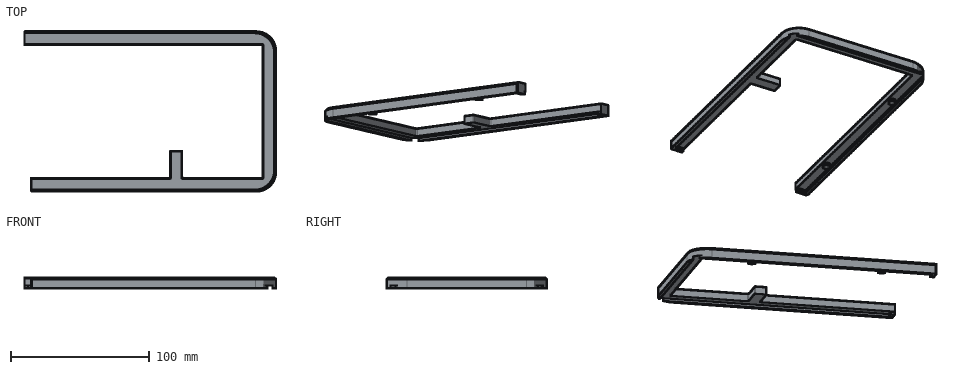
import cadquery as cq
length = 182.2
width = 116.0
height = 7.8

bar_width = 9.8
near_arm_start = 5.0
outer_radius = 15.0
inner_radius = 0.7
outer_chamfer = 1.5
inner_chamfer = 0.5
end_chamfer = 0.7

stub_width = 8.7
stub_reach = 19.7
stub_center_x = 109.9

rebate_depth = 2.0
skirt_width = 2.7
end_wall = 2.7
end_wall_setback = 0.5

pin_diameter = 5.3
pin_positions_x = (39.5, 136.1)
pin_y = width - (bar_width + skirt_width) / 2

inner_x = length - bar_width
inner_near_y = bar_width
inner_far_y = width - bar_width
stub_tip_y = inner_near_y + stub_reach
tolerance = 0.02


def block(x_range, y_range, z_range):
    """Axis-aligned box spanning the given ranges."""
    low = (x_range[0], y_range[0], z_range[0])
    high = (x_range[1], y_range[1], z_range[1])
    size = [b - a for a, b in zip(low, high)]
    return cq.Workplane("XY").box(*size, centered=False).translate(low)


def outer_slab():
    """Full footprint with rounded right corners and a chamfered top rim."""
    slab = block((0, length), (0, width), (0, height))
    slab = slab.edges("|Z and >X").fillet(outer_radius)
    return slab.faces(">Z").edges("not <X").chamfer(outer_chamfer)


def opening():
    """Space inside the U, around the stub, with softened vertical corners."""
    space = block((-end_wall, inner_x), (inner_near_y, inner_far_y), (0, height))
    stub_x = (stub_center_x - stub_width / 2, stub_center_x + stub_width / 2)
    space = space.cut(block(stub_x, (inner_near_y, stub_tip_y), (0, height)))
    return space.edges("|Z and (not <X)").fillet(inner_radius)


def chamfer_inner_rim(frame):
    """Bevel the top edges that face the opening."""
    rim = cq.selectors.BoxSelector(
        (0, inner_near_y - tolerance, height - tolerance),
        (inner_x + tolerance, inner_far_y + tolerance, height + tolerance),
    )
    return frame.edges(rim).chamfer(inner_chamfer)


def chamfer_arm_ends(frame):
    """Bevel the outer vertical corner at the free end of each arm."""
    for x, y in ((0, width), (near_arm_start, 0)):
        corner = cq.selectors.NearestToPointSelector((x, y, height / 2))
        frame = frame.edges("|Z").edges(corner).chamfer(end_chamfer)
    return frame


def rebate():
    """Underside space between the outer skirt and the two arm end walls."""
    depth = (0, rebate_depth)
    middle_y = width / 2
    inside = block((end_wall, length - skirt_width), (skirt_width, width - skirt_width), depth)
    near_wall = block((0, near_arm_start + end_wall), (0, middle_y), depth)
    setback_y = (inner_near_y - end_wall_setback, inner_far_y + end_wall_setback)
    return inside.cut(near_wall).union(block((0, inner_x), setback_y, depth))


def pins():
    """Round pins reaching from the rebate ceiling down to the underside."""
    points = [(x, pin_y) for x in pin_positions_x]
    return cq.Workplane("XY").pushPoints(points).circle(pin_diameter / 2).extrude(rebate_depth)


frame = outer_slab().cut(block((0, near_arm_start), (0, inner_near_y), (0, height)))
frame = frame.cut(opening())
frame = chamfer_inner_rim(frame)
frame = chamfer_arm_ends(frame)
result = frame.cut(rebate()).union(pins())